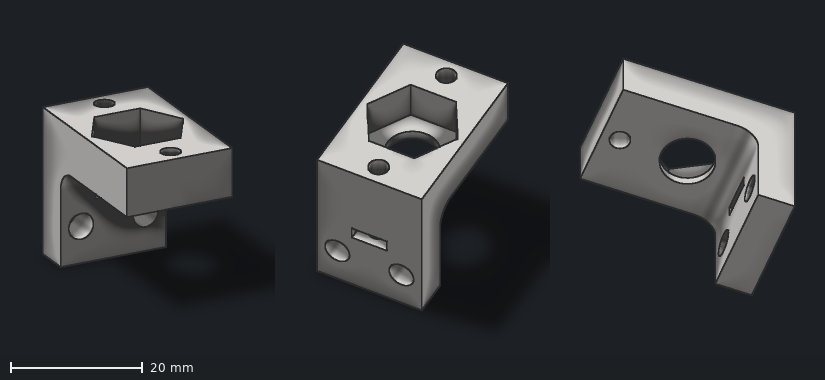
import cadquery as cq

length = 28.0
width = 18.0
height = 24.08
flange_thickness = 8.0
leg_thickness = 6.0
inner_radius = 3.5

nut_across_corners = 15.62
nut_depth = 6.5
bore_diameter = 8.5

screw_diameter = 3.2
screw_spacing = 22.0
leg_screw_depth = 20.0

slot_width = 6.0
slot_height = 2.0
slot_center_z = 11.1
mount_diameter = 4.2
mount_spacing = 11.0
mount_z = 6.05


def bracket_body():
    """L-shaped body with a rounded inner corner, centred on X and Y, standing on Z = 0."""
    left = -length / 2
    leg_face = left + leg_thickness
    flange_underside = height - flange_thickness
    outline = [
        (left, 0),
        (leg_face, 0),
        (leg_face, flange_underside),
        (length / 2, flange_underside),
        (length / 2, height),
        (left, height),
    ]
    body = cq.Workplane("XZ").polyline(outline).close().extrude(width / 2, both=True)
    inner_corner = cq.selectors.NearestToPointSelector((leg_face, 0, flange_underside))
    return body.edges("|Y").edges(inner_corner).fillet(inner_radius)


def nut_seat_and_bore():
    """Hexagonal pocket with two corners on the Y axis, above a through bore."""
    pocket = (
        cq.Workplane("XY", origin=(0, 0, height - nut_depth))
        .transformed(rotate=(0, 0, 90))
        .polygon(6, nut_across_corners)
        .extrude(nut_depth)
    )
    bore = cq.Workplane("XY").circle(bore_diameter / 2).extrude(height)
    return pocket.union(bore)


def screw_hole(x, bottom_z):
    """Vertical hole from the top face down to bottom_z."""
    hole = cq.Workplane("XY", origin=(x, 0, bottom_z)).circle(screw_diameter / 2)
    return hole.extrude(height - bottom_z)


def leg_slot():
    """Rectangular slot through the leg along X."""
    slot = cq.Workplane("YZ", origin=(-length / 2, 0, slot_center_z))
    return slot.rect(slot_width, slot_height).extrude(leg_thickness)


def mounting_holes():
    """Pair of round holes through the leg along X."""
    holes = cq.Workplane("YZ", origin=(-length / 2, 0, mount_z))
    holes = holes.pushPoints([(-mount_spacing / 2, 0), (mount_spacing / 2, 0)])
    return holes.circle(mount_diameter / 2).extrude(leg_thickness)


result = bracket_body()
result = result.cut(nut_seat_and_bore())
result = result.cut(screw_hole(screw_spacing / 2, 0))
result = result.cut(screw_hole(-screw_spacing / 2, height - leg_screw_depth))
result = result.cut(leg_slot())
result = result.cut(mounting_holes())